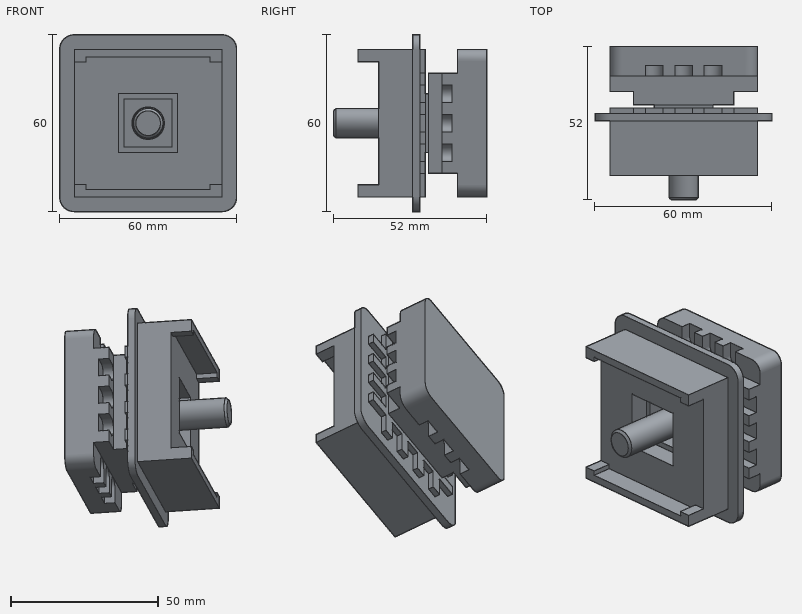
import cadquery as cq

flange_side = 60.0
body_side = 50.05
core_side = 34.0
neck_side = 20.0
cup_side = 16.25

plate_depth = 10.0
bar_depth = 15.3
core_depth = 19.8
cup_floor_depth = core_depth
neck_depth = 29.75

housing_rear_depth = 20.8
flange_rear_depth = 22.7
flange_front_depth = 25.2
wall_depth = 36.65
lip_depth = 43.75

shaft_seat_depth = plate_depth
shaft_depth = 52.0
shaft_diameter = 10.0
shaft_chamfer = 0.85
shank_depth = cup_floor_depth
shank_diameter = 10.8
shaft_hole_clearance = 0.2
shaft_hole_diameter = shank_diameter + shaft_hole_clearance

flange_radius = 5.0
plate_radius = 4.0

slot_width = 6.0
slot_pitch = 9.95
slot_depth = 3.55
slot_count = 3
slot_length = (body_side - core_side) / 2
slot_offsets = [(i - (slot_count - 1) / 2) * slot_pitch for i in range(slot_count)]

lip_thickness = 2.6
lip_end_thickness = 4.2
lip_end_width = 4.0


def block(x_size, z_size, rear_depth, front_depth):
    """Box centred on the Y axis between two depths."""
    length = front_depth - rear_depth
    return cq.Workplane("XY").box(x_size, length, z_size).translate((0, -(rear_depth + front_depth) / 2, 0))


def cylinder(diameter, rear_depth, front_depth):
    """Cylinder on the Y axis between two depths."""
    return (
        cq.Workplane("XZ", origin=(0, -rear_depth, 0))
        .circle(diameter / 2)
        .extrude(front_depth - rear_depth)
    )


def around_axis(shape, degrees):
    """Shape turned about the Y axis."""
    return shape.rotate((0, 0, 0), (0, 1, 0), degrees)


def top_slot(x_center, front_depth):
    """U-shaped cutter, open at the top side, whose round end touches the core outline."""
    radius = slot_width / 2
    end_center_z = core_side / 2 + radius
    straight = slot_length - radius
    return (
        cq.Workplane("XZ", origin=(x_center, -(front_depth - slot_depth), end_center_z))
        .moveTo(-radius, straight)
        .lineTo(-radius, 0)
        .threePointArc((0, -radius), (radius, 0))
        .lineTo(radius, straight)
        .close()
        .extrude(slot_depth)
    )


def make_clamp_block():
    """Rounded plate, stepped core and square neck with a cup, slotted on all four sides."""
    body = block(body_side, body_side, 0, plate_depth).edges("|Y").fillet(plate_radius)
    body = body.union(block(body_side, core_side, plate_depth, bar_depth))
    body = body.union(block(core_side, core_side, bar_depth, core_depth))
    body = body.union(block(neck_side, neck_side, core_depth, neck_depth))
    body = body.cut(block(cup_side, cup_side, cup_floor_depth, neck_depth))
    body = body.cut(cylinder(shaft_hole_diameter, shaft_seat_depth, cup_floor_depth))

    for angle, front_depth in ((0, plate_depth), (180, plate_depth), (90, bar_depth), (270, bar_depth)):
        for offset in slot_offsets:
            body = body.cut(around_axis(top_slot(offset, front_depth), angle))
    return body


def make_lips():
    """Upper and lower lips: thin strips, each with a thicker pad at both ends."""
    opening_side = body_side - 2 * lip_end_width
    opening_height = body_side - 2 * lip_thickness
    end_height = body_side - 2 * lip_end_thickness
    lips = block(body_side, body_side, wall_depth, lip_depth)
    lips = lips.cut(block(opening_side, opening_height, wall_depth, lip_depth))
    return lips.cut(block(body_side, end_height, wall_depth, lip_depth))


def make_rear_pad():
    """Raised rear face with square corner reliefs and three cable notches on each side."""
    pad = block(body_side, core_side, housing_rear_depth, flange_rear_depth)
    pad = pad.union(block(core_side, body_side, housing_rear_depth, flange_rear_depth))
    for angle in (0, 90, 180, 270):
        for offset in slot_offsets:
            notch = block(slot_width, slot_length, housing_rear_depth, flange_rear_depth)
            notch = notch.translate((offset, 0, (core_side + slot_length) / 2))
            pad = pad.cut(around_axis(notch, angle))
    return pad


def make_housing():
    """Square housing with a flange, a rear pad, two front lips and a hole for the neck."""
    body = block(body_side, body_side, flange_rear_depth, wall_depth)
    flange = block(flange_side, flange_side, flange_rear_depth, flange_front_depth)
    body = body.union(flange.edges("|Y").fillet(flange_radius))
    body = body.union(make_rear_pad()).union(make_lips())
    return body.cut(block(neck_side, neck_side, housing_rear_depth, wall_depth))


def make_shaft():
    """Stepped round shaft: a revolved half profile with a bevelled shoulder and front end."""
    shank_radius = shank_diameter / 2
    radius = shaft_diameter / 2
    shoulder = shank_radius - radius
    return (
        cq.Workplane("XY")
        .moveTo(0, -shaft_seat_depth)
        .lineTo(shank_radius, -shaft_seat_depth)
        .lineTo(shank_radius, -(shank_depth - shoulder))
        .lineTo(radius, -shank_depth)
        .lineTo(radius, -(shaft_depth - shaft_chamfer))
        .lineTo(radius - shaft_chamfer, -shaft_depth)
        .lineTo(0, -shaft_depth)
        .close()
        .revolve(360, (0, 0, 0), (0, 1, 0))
    )


clamp_block = make_clamp_block()
housing = make_housing()
shaft = make_shaft()

result = cq.Compound.makeCompound([clamp_block.val(), housing.val(), shaft.val()])